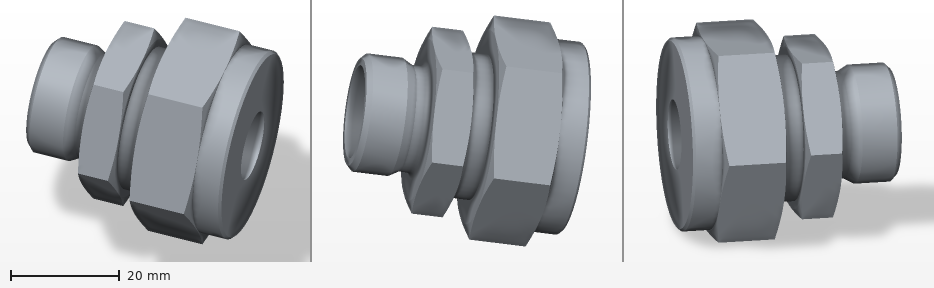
import cadquery as cq
import math

spigot_end = 7.52
groove_start = 9.45
small_hex_start = 12.0
small_hex_end = 19.1
large_hex_start = 23.15
large_hex_end = 35.2
total_length = 40.6

spigot_radius = 10.97
spigot_chamfer = 1.0
groove_radius = 9.9
groove_fillet = 1.0
small_hex_flats = 30.0
collar_radius = 13.5
large_hex_corners = 41.55
large_hex_flats = large_hex_corners * math.cos(math.radians(30))
sleeve_radius = 17.88
sleeve_chamfer = 0.5
hex_chamfer_angle = math.radians(15)

mouth_radius = 8.65
socket_radius = 7.5
mouth_half_angle = math.radians(12)
socket_depth = 7.0
through_radius = 6.5


def cylinder(radius, start, end):
    """Solid cylinder on the X axis between two stations."""
    return cq.Workplane("YZ").workplane(offset=start).circle(radius).extrude(end - start)


def revolve_about_x(profile):
    """Turn a closed (x, radius) profile about the X axis."""
    return profile.close().revolve(360, (0, 0, 0), (1, 0, 0))


def chamfered_hexagon(flats, start, end):
    """Hexagon with corners on +Y and -Y, both ends coned down to the circle inside its flats."""
    flat_radius = flats / 2
    corner_radius = flat_radius / math.cos(math.radians(30))
    corner_setback = (corner_radius - flat_radius) * math.tan(hex_chamfer_angle)
    prism = (
        cq.Workplane("YZ")
        .workplane(offset=start)
        .polygon(6, 2 * corner_radius)
        .extrude(end - start)
    )
    envelope = revolve_about_x(
        cq.Workplane("XY")
        .moveTo(start, 0)
        .lineTo(start, flat_radius)
        .lineTo(start + corner_setback, corner_radius)
        .lineTo(end - corner_setback, corner_radius)
        .lineTo(end, flat_radius)
        .lineTo(end, 0)
    )
    return prism.intersect(envelope)


def grooved_spigot():
    """Chamfered spigot with a relief groove that flares into the small hexagon."""
    fillet_shift = groove_fillet * math.sqrt(0.5)
    fillet_middle = (
        small_hex_start - groove_fillet + fillet_shift,
        groove_radius + groove_fillet - fillet_shift,
    )
    return revolve_about_x(
        cq.Workplane("XY")
        .moveTo(0, 0)
        .lineTo(0, spigot_radius - spigot_chamfer)
        .lineTo(spigot_chamfer, spigot_radius)
        .lineTo(spigot_end, spigot_radius)
        .lineTo(groove_start, groove_radius)
        .lineTo(small_hex_start - groove_fillet, groove_radius)
        .threePointArc(fillet_middle, (small_hex_start, groove_radius + groove_fillet))
        .lineTo(small_hex_start, 0)
    )


def bore():
    """Cutter for the tapered mouth, the tube socket and the through hole."""
    mouth_depth = (mouth_radius - socket_radius) / math.tan(mouth_half_angle)
    return revolve_about_x(
        cq.Workplane("XY")
        .moveTo(0, 0)
        .lineTo(0, mouth_radius)
        .lineTo(mouth_depth, socket_radius)
        .lineTo(socket_depth, socket_radius)
        .lineTo(socket_depth, through_radius)
        .lineTo(total_length, through_radius)
        .lineTo(total_length, 0)
    )


small_hexagon = chamfered_hexagon(small_hex_flats, small_hex_start, small_hex_end)
collar = cylinder(collar_radius, small_hex_end, large_hex_start)
large_hexagon = chamfered_hexagon(large_hex_flats, large_hex_start, large_hex_end)
sleeve = cylinder(sleeve_radius, large_hex_end, total_length).faces(">X").chamfer(sleeve_chamfer)

result = (
    grooved_spigot()
    .union(small_hexagon)
    .union(collar)
    .union(large_hexagon)
    .union(sleeve)
    .cut(bore())
)